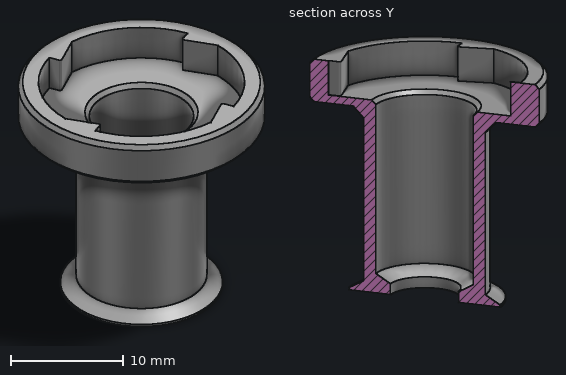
import cadquery as cq
import math

total_height = 21.2
flange_radius = 11.0
flange_height = 4.0
flange_chamfer = 0.4

stem_radius = 11.7 / 2
neck_height = 1.0
foot_radius = 14.5 / 2
foot_height = 1.03
foot_rim_height = 0.25

pocket_radius = 9.2
pocket_depth = 3.2
tooth_count = 4
tooth_tip_radius = 8.0
tooth_slope = math.radians(10)
tooth_tip_fillet = 0.2

bore_radius = 9.3 / 2
bore_chamfer = 0.4
outlet_radius = 6.5 / 2
shoulder_slope = math.radians(30)

flange_bottom = total_height - flange_height
pocket_floor = total_height - pocket_depth


def make_body():
    """Solid of revolution: foot, stem, neck and flange."""
    neck_radius = stem_radius + neck_height
    chamfered_radius = flange_radius - flange_chamfer
    profile = [
        (0, 0),
        (foot_radius, 0),
        (foot_radius, foot_rim_height),
        (stem_radius, foot_height),
        (stem_radius, flange_bottom - neck_height),
        (neck_radius, flange_bottom),
        (chamfered_radius, flange_bottom),
        (flange_radius, flange_bottom + flange_chamfer),
        (flange_radius, total_height - flange_chamfer),
        (chamfered_radius, total_height),
        (0, total_height),
    ]
    return cq.Workplane("XZ").polyline(profile).close().revolve(360, (0, 0), (0, 1))


def make_bore():
    """Through bore: outlet, conical shoulder, main bore and its edge chamfer."""
    shoulder_height = (bore_radius - outlet_radius) * math.tan(shoulder_slope)
    profile = [
        (0, 0),
        (outlet_radius, 0),
        (outlet_radius, foot_height),
        (bore_radius, foot_height + shoulder_height),
        (bore_radius, pocket_floor - bore_chamfer),
        (bore_radius + bore_chamfer, pocket_floor),
        (0, pocket_floor),
    ]
    return cq.Workplane("XZ").polyline(profile).close().revolve(360, (0, 0), (0, 1))


def make_tooth():
    """Ratchet tooth: one radial face on the Y axis and one sloping face."""
    wall_radius = (pocket_radius + flange_radius) / 2
    ramp_length = wall_radius / 2
    ramp_end = tooth_tip_radius + ramp_length * math.tan(tooth_slope)
    return (
        cq.Workplane("XY", origin=(0, 0, pocket_floor))
        .moveTo(0, tooth_tip_radius)
        .lineTo(ramp_length, ramp_end)
        .lineTo(0, wall_radius)
        .close()
        .extrude(pocket_depth)
        .edges("|Z and <Y")
        .fillet(tooth_tip_fillet)
    )


def make_pocket():
    """Round pocket with the teeth left standing on its wall."""
    pocket = cq.Workplane("XY", origin=(0, 0, pocket_floor)).circle(pocket_radius).extrude(pocket_depth)
    tooth = make_tooth()
    for index in range(tooth_count):
        angle = index * 360 / tooth_count
        pocket = pocket.cut(tooth.rotate((0, 0, 0), (0, 0, 1), angle))
    return pocket


result = make_body().cut(make_bore()).cut(make_pocket())